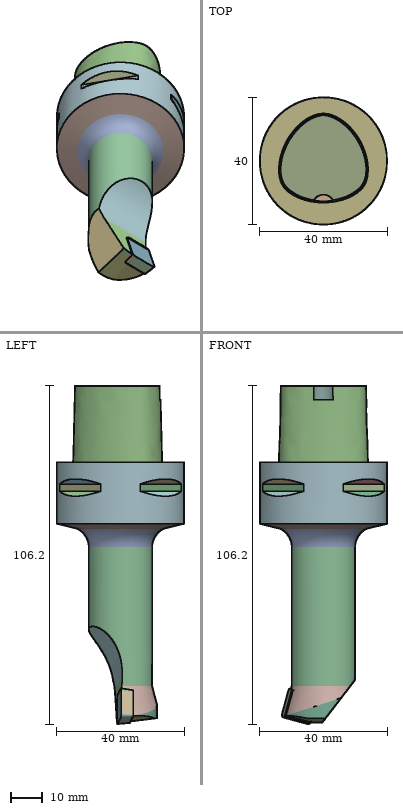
import cadquery as cq
import math

shank_height = 24.0
shank_mean_radius = 14.0
shank_eccentricity = 0.9
shank_taper = 1 / 40
profile_samples = 72
notch_width = 6.2
notch_depth = 1.9
notch_height = 4.4

flange_radius = 40.0 / 2
flange_bottom = -19.3
neck_cone_radius = 13.5
neck_cone_bottom = -20.9
neck_bottom = -26.7

groove_count = 4
groove_center_z = -8.0
groove_floor_radius = 17.8
groove_floor_height = 2.2
groove_mouth_height = 5.4

bar_radius = 20.0 / 2
bar_bottom = -70.2
head_flare_angle = 14.5
head_bottom = -81.8
head_limit_radius = 11.5
head_limit_x = -1.0
relief_top_z = -68.3
relief_angle = 52.4
bottom_clearance_angle = 7.0

insert_side = 9.6
insert_thickness = 3.9
insert_nose_radius = 1.0
insert_clearance = 7.0
insert_lead_angle = 15.0
insert_face_tilt = 7.5
insert_corner = (-13.3, -0.2, -80.0)
insert_overhang = 0.3
insert_rise = 0.3

gullet_flat_length = 13.4
gullet_radius = 19.1

cutter_size = 63.7

lead = math.radians(insert_lead_angle)
tilt = math.radians(insert_face_tilt)
edge_direction = cq.Vector(
    math.cos(lead) * math.cos(tilt),
    math.sin(tilt),
    -math.sin(lead) * math.cos(tilt),
)
side_direction = cq.Vector(math.sin(lead), 0, math.cos(lead))
insert_plane = cq.Plane(
    origin=insert_corner,
    xDir=side_direction,
    normal=side_direction.cross(edge_direction),
)


def polygon_wire(z):
    """Three-lobed trochoid of the taper shank at height z, with one lobe on +Y."""
    mean_radius = shank_mean_radius - z * shank_taper
    e = shank_eccentricity
    points = []
    for i in range(profile_samples):
        a = 2 * math.pi * i / profile_samples
        along = mean_radius * math.cos(a) - 2 * e * math.cos(2 * a) + e * math.cos(4 * a)
        across = mean_radius * math.sin(a) + 2 * e * math.sin(2 * a) + e * math.sin(4 * a)
        points.append(cq.Vector(across, -along, z))
    return cq.Wire.assembleEdges([cq.Edge.makeSpline(points, periodic=True)])


def make_shank():
    """Tapered polygon shank with a round-backed notch at its top on the -Y side."""
    shank = cq.Workplane(cq.Solid.makeLoft([polygon_wire(0), polygon_wire(shank_height)]))
    half_width = notch_width / 2
    notch_radius = (half_width**2 + notch_depth**2) / (2 * notch_depth)
    side_y = -(shank_mean_radius - shank_height * shank_taper - shank_eccentricity)
    notch = (
        cq.Workplane("XY", origin=(0, side_y + notch_depth - notch_radius, shank_height))
        .circle(notch_radius)
        .extrude(-notch_height)
    )
    return shank.cut(notch)


def make_flange_and_bar():
    """Revolved flange, concave neck, bar and flared head."""
    head_height = bar_bottom - head_bottom
    head_radius = bar_radius + head_height * math.tan(math.radians(head_flare_angle))
    dr = neck_cone_radius - bar_radius
    dz = neck_cone_bottom - neck_bottom
    neck_radius = (dr**2 + dz**2) / (2 * dr)
    half_sweep = math.asin(dz / neck_radius) / 2
    neck_mid = (
        bar_radius + neck_radius * (1 - math.cos(half_sweep)),
        neck_bottom + neck_radius * math.sin(half_sweep),
    )
    return (
        cq.Workplane("XZ")
        .moveTo(0, 0)
        .lineTo(flange_radius, 0)
        .lineTo(flange_radius, flange_bottom)
        .lineTo(neck_cone_radius, neck_cone_bottom)
        .threePointArc(neck_mid, (bar_radius, neck_bottom))
        .lineTo(bar_radius, bar_bottom)
        .lineTo(head_radius, head_bottom)
        .lineTo(0, head_bottom)
        .close()
        .revolve(360, (0, 0), (0, 1))
    )


def make_groove(angle):
    """Straight trapezoidal groove across the flange, facing the given direction."""
    depth = flange_radius - groove_floor_radius
    slope = (groove_mouth_height - groove_floor_height) / 2 / depth
    outer_half = groove_mouth_height / 2 + slope * depth
    floor_half = groove_floor_height / 2
    return (
        cq.Workplane("XZ", origin=(0, cutter_size / 2, groove_center_z))
        .polyline([
            (groove_floor_radius, -floor_half),
            (flange_radius + depth, -outer_half),
            (flange_radius + depth, outer_half),
            (groove_floor_radius, floor_half),
        ])
        .close()
        .extrude(cutter_size)
        .rotate((0, 0, 0), (0, 0, 1), angle)
    )


def make_oblique_relief():
    """Wedge removed from the +X side of the head, running through along Y."""
    slope = math.tan(math.radians(relief_angle))
    return (
        cq.Workplane("XZ", origin=(0, cutter_size / 2, 0))
        .moveTo(bar_radius, relief_top_z)
        .lineTo(bar_radius + cutter_size, relief_top_z)
        .lineTo(bar_radius + cutter_size, relief_top_z - cutter_size * slope)
        .lineTo(bar_radius - cutter_size, relief_top_z - cutter_size * slope)
        .close()
        .extrude(cutter_size)
    )


def make_head_limit():
    """Ring around an offset cylinder that trims the outside of the flared head."""
    return (
        cq.Workplane("XY", origin=(head_limit_x, 0, bar_bottom))
        .circle(cutter_size)
        .circle(head_limit_radius)
        .extrude(-cutter_size)
    )


def make_bottom_clearance():
    """Block below the head, its top rising toward -Y."""
    return (
        cq.Workplane("XY")
        .box(cutter_size, cutter_size, cutter_size, centered=(True, True, False))
        .translate((0, 0, -cutter_size))
        .rotate((0, 0, 0), (1, 0, 0), -bottom_clearance_angle)
        .translate((0, 0, head_bottom))
    )


def make_edge_clearance():
    """Block below the lower cutting edge, relieved by the insert clearance angle."""
    return (
        cq.Workplane("XY")
        .box(cutter_size, cutter_size, cutter_size, centered=(False, True, True))
        .translate((-cutter_size, 0, 0))
        .rotate((0, 0, 0), (0, 1, 0), -insert_clearance)
        .translate((insert_overhang, 0, 0))
        .val()
        .moved(cq.Location(insert_plane))
    )


def make_gullet():
    """Chip gullet: a flat floor that curves out through the +Y side of the bar."""
    section = cq.Plane(
        origin=insert_plane.toWorldCoords((0, cutter_size / 2, -insert_rise)),
        xDir=insert_plane.xDir,
        normal=-insert_plane.yDir,
    )
    diagonal = gullet_radius * math.sqrt(0.5)
    return (
        cq.Workplane(section)
        .moveTo(-cutter_size / 2, 0)
        .lineTo(gullet_flat_length, 0)
        .threePointArc(
            (gullet_flat_length + diagonal, gullet_radius - diagonal),
            (gullet_flat_length + gullet_radius, gullet_radius),
        )
        .lineTo(-cutter_size / 2, gullet_radius)
        .close()
        .extrude(cutter_size)
    )


def make_insert():
    """Square positive insert with rounded corners, tapering away from its rake face."""
    return (
        cq.Workplane(insert_plane)
        .center(insert_side / 2, insert_side / 2)
        .sketch()
        .rect(insert_side, insert_side)
        .vertices()
        .fillet(insert_nose_radius)
        .finalize()
        .extrude(-insert_thickness, taper=insert_clearance)
    )


def make_holder(insert):
    """Tool holder with a pocket matching the insert."""
    holder = make_flange_and_bar().union(make_shank())
    for i in range(groove_count):
        holder = holder.cut(make_groove((i + 0.5) * 360 / groove_count))
    holder = holder.cut(make_head_limit())
    holder = holder.cut(make_oblique_relief())
    holder = holder.cut(make_bottom_clearance())
    holder = holder.cut(cq.Workplane(make_edge_clearance()))
    holder = holder.cut(make_gullet())
    return holder.cut(insert)


cutting_insert = make_insert()
tool_holder = make_holder(cutting_insert)

result = cq.Compound.makeCompound([tool_holder.val(), cutting_insert.val()])